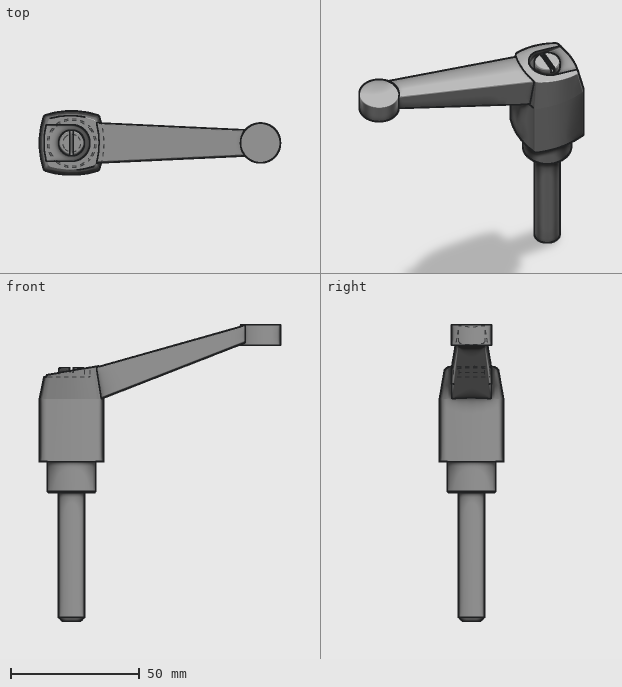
import cadquery as cq
import math

collar_bottom = 49.9
hub_bottom = 61.9
hub_shoulder = 86.2
pocket_floor = 94.8
screw_top = 98.3
overall_height = 115.0

stud_diameter = 10.1
stud_chamfer = 1.6
collar_diameter = 19.0
collar_chamfer = 0.6

hub_width = 25.0
hub_half_width = hub_width / 2
side_half_length = 9.8
side_bulge = 1.5
front_draft = 8.0
back_draft = 12.0
cap_edge_round = 0.3
top_slope = 9.8
top_height_at_axis = 97.2

pocket_radius = 7.1
pocket_floor_round = 0.6
screw_diameter = 10.0
screw_edge_round = 0.9
slot_width = 1.5
slot_depth = 1.7

pad_diameter = 15.5
pad_height = 8.0
pad_center_x = 73.3
pad_edge_round = 0.3

arm_start_x = 9.2
arm_end_x = 67.8
arm_start_half_width = 7.8
arm_end_half_width = 5.1
arm_start_bottom, arm_start_top = 85.3, 98.3
arm_end_bottom, arm_end_top = 108.2, 114.9
arm_edge_round = 0.7


def cylinder(diameter, bottom, top, x=0.0):
    return cq.Workplane("XY", origin=(x, 0, bottom)).circle(diameter / 2).extrude(top - bottom)


def hub_section(z, half_width=hub_half_width, center_x=0.0):
    """Rounded square of four bulged sides joined by tangent corner arcs, scaled to half_width."""
    side_end = hub_half_width - side_bulge
    side_radius = (side_half_length**2 + side_bulge**2) / (2 * side_bulge)
    end_angle = math.asin(side_half_length / side_radius)
    corner_chord = math.sqrt(2) * (side_end - side_half_length)
    corner_radius = corner_chord / 2 / math.sin(math.pi / 4 - end_angle)
    corner_center = side_end - corner_radius * math.cos(end_angle)
    corner_middle = corner_center + corner_radius / math.sqrt(2)

    scale = half_width / hub_half_width

    def turned(x, y, quarter):
        cos_turn, sin_turn = ((1, 0), (0, 1), (-1, 0), (0, -1))[quarter]
        return (scale * (x * cos_turn - y * sin_turn), scale * (x * sin_turn + y * cos_turn))

    section = cq.Workplane("XY", origin=(center_x, 0, z)).moveTo(*turned(side_end, -side_half_length, 0))
    for quarter in range(4):
        section = section.threePointArc(
            turned(hub_half_width, 0, quarter), turned(side_end, side_half_length, quarter)
        )
        section = section.threePointArc(
            turned(corner_middle, corner_middle, quarter), turned(side_half_length, side_end, quarter)
        )
    return section.close()


def make_hub():
    body = hub_section(hub_bottom).extrude(hub_shoulder - hub_bottom)

    reach = hub_width
    cap_height = overall_height - hub_shoulder
    front_inset = cap_height * math.tan(math.radians(front_draft))
    back_inset = cap_height * math.tan(math.radians(back_draft))
    small_end = hub_section(
        overall_height,
        hub_half_width - (front_inset + back_inset) / 2,
        (back_inset - front_inset) / 2,
    )
    cap = cq.Workplane(cq.Solid.makeLoft([hub_section(hub_shoulder).val(), small_end.val()], True))
    rise = reach * math.tan(math.radians(top_slope))
    below_top = (
        cq.Workplane("XZ")
        .moveTo(-reach, hub_bottom)
        .lineTo(reach, hub_bottom)
        .lineTo(reach, top_height_at_axis + rise)
        .lineTo(-reach, top_height_at_axis - rise)
        .close()
        .extrude(reach, both=True)
    )
    cap = cap.intersect(below_top).faces(">Z").edges().fillet(cap_edge_round)
    return body.union(cap)


def make_pocket():
    depth = overall_height - pocket_floor
    round_end = cylinder(2 * pocket_radius, pocket_floor, overall_height)
    open_end = (
        cq.Workplane("XY", origin=(-hub_half_width, 0, pocket_floor))
        .rect(hub_width, 2 * pocket_radius)
        .extrude(depth)
    )
    return round_end.union(open_end).faces("<Z").edges().fillet(pocket_floor_round)


def make_screw_head():
    head = cylinder(screw_diameter, hub_shoulder, screw_top).faces(">Z").edges().fillet(screw_edge_round)
    slot = (
        cq.Workplane("XY", origin=(0, 0, screw_top - slot_depth))
        .rect(slot_width, screw_diameter)
        .extrude(slot_depth)
    )
    return head.cut(slot)


def make_arm():
    length = arm_end_x - arm_start_x
    start_middle = (arm_start_top + arm_start_bottom) / 2
    end_middle = (arm_end_top + arm_end_bottom) / 2
    arm = (
        cq.Workplane("YZ", origin=(arm_start_x, 0, start_middle))
        .rect(2 * arm_start_half_width, arm_start_top - arm_start_bottom)
        .workplane(offset=length)
        .center(0, end_middle - start_middle)
        .rect(2 * arm_end_half_width, arm_end_top - arm_end_bottom)
        .loft(ruled=True)
    )
    long_edges = arm.faces("not |X").edges("not #X")
    return long_edges.fillet(arm_edge_round)


stud = cylinder(stud_diameter, 0, hub_bottom).faces("<Z").chamfer(stud_chamfer)
collar = cylinder(collar_diameter, collar_bottom, hub_bottom).faces("<Z").chamfer(collar_chamfer)
pad = cylinder(pad_diameter, overall_height - pad_height, overall_height, pad_center_x)
pad = pad.edges("%CIRCLE").fillet(pad_edge_round)

lever = make_hub().union(make_arm()).cut(make_pocket())
result = lever.union(pad).union(make_screw_head()).union(collar).union(stud)